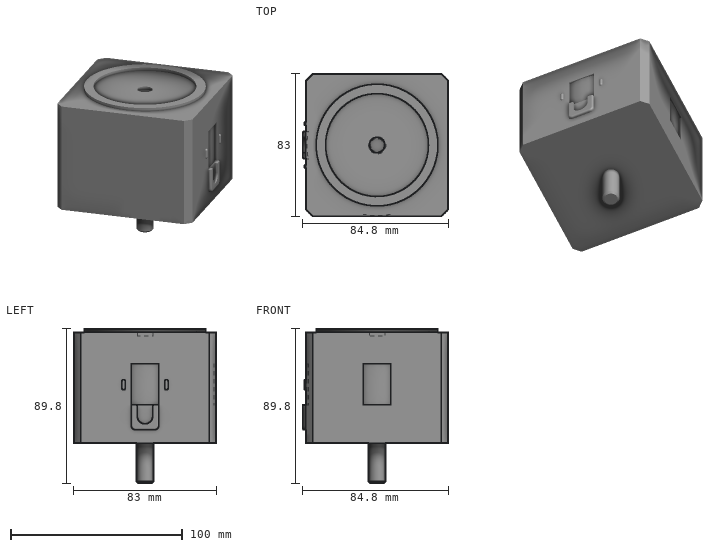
import cadquery as cq

body_width = 83.0
body_height = 64.5
corner_chamfer = 4.0
face = body_width / 2

collar_diameter = 71.0
collar_height = 2.0
dish_diameter = 60.0
dish_depth = 2.0
center_hole_diameter = 9.0
center_hole_depth = 2.0

shaft_diameter = 10.0
shaft_length = 23.35
shaft_chamfer = 1.1

window_width = 16.0
window_height = 24.0
window_bottom = 22.2
drum_radius = 41.0

tab_thickness = 1.8
tab_height = 14.5
tab_corner_radius = 2.5
tab_edge_radius = 1.0
notch_width = 9.0
notch_depth = 11.0
notch_mouth_radius = 0.5

bead_radius = 1.0
bead_length = 6.0
bead_offset = 12.5
bead_center_height = 34.0


def make_housing():
    block = cq.Workplane("XY").rect(body_width, body_width).extrude(body_height)
    block = block.edges("|Z").chamfer(corner_chamfer)
    collar = (
        cq.Workplane("XY")
        .workplane(offset=body_height)
        .circle(collar_diameter / 2)
        .extrude(collar_height)
    )
    return block.union(collar)


def make_top_recesses():
    collar_top = body_height + collar_height
    dish_floor = collar_top - dish_depth
    dish = (
        cq.Workplane("XY")
        .workplane(offset=dish_floor)
        .circle(dish_diameter / 2)
        .extrude(dish_depth)
    )
    hole = (
        cq.Workplane("XY")
        .workplane(offset=dish_floor - center_hole_depth)
        .circle(center_hole_diameter / 2)
        .extrude(center_hole_depth)
    )
    return dish.union(hole)


def make_shaft():
    shaft = cq.Workplane("XY").circle(shaft_diameter / 2).extrude(-shaft_length)
    return shaft.faces("<Z").edges().chamfer(shaft_chamfer)


def make_window_cutter():
    """Cutter for a window in the -X wall, bounded inside by the drum surface."""
    opening = (
        cq.Workplane("XY")
        .workplane(offset=window_bottom)
        .center(-face / 2, 0)
        .rect(face, window_width)
        .extrude(window_height)
    )
    drum = cq.Workplane("XY").circle(drum_radius).extrude(body_height)
    return opening.cut(drum)


def make_tab():
    """Tab on the -X wall, hanging from the lower edge of the window."""
    tab = (
        cq.Workplane("XY")
        .box(tab_thickness, window_width, tab_height, centered=(False, True, False))
        .translate((-face - tab_thickness, 0, window_bottom - tab_height))
    )
    tab = tab.edges("|X and <Z").fillet(tab_corner_radius)
    tab = tab.faces("<X").edges("not >Z").fillet(tab_edge_radius)

    notch_radius = notch_width / 2
    notch_center = window_bottom - notch_depth + notch_radius
    notch = (
        cq.Workplane("YZ")
        .workplane(offset=-face - tab_thickness)
        .moveTo(-notch_radius, window_bottom)
        .lineTo(-notch_radius, notch_center)
        .threePointArc((0, window_bottom - notch_depth), (notch_radius, notch_center))
        .lineTo(notch_radius, window_bottom)
        .close()
        .extrude(tab_thickness)
    )
    tab = tab.cut(notch)
    half_box = notch_radius + notch_mouth_radius
    mouth_edges = cq.selectors.BoxSelector(
        (-face - tab_thickness, -half_box, window_bottom - notch_mouth_radius),
        (-face, half_box, window_bottom + notch_mouth_radius),
    )
    return tab.edges("|X").edges(mouth_edges).fillet(notch_mouth_radius)


def make_bead(y):
    """Round-ended capsule, upright, half sunk into the -X wall."""
    straight = bead_length - 2 * bead_radius
    bead = cq.Workplane("XY").circle(bead_radius).extrude(straight / 2, both=True)
    for end in (-straight / 2, straight / 2):
        bead = bead.union(cq.Workplane("XY").sphere(bead_radius).translate((0, 0, end)))
    return bead.translate((-face, y, bead_center_height))


minus_x_window = make_window_cutter()
minus_y_window = minus_x_window.rotate((0, 0, 0), (0, 0, 1), 90)

result = make_housing().cut(make_top_recesses())
result = result.cut(minus_x_window).cut(minus_y_window)
result = result.union(make_shaft()).union(make_tab())
for side in (-1, 1):
    result = result.union(make_bead(side * bead_offset))